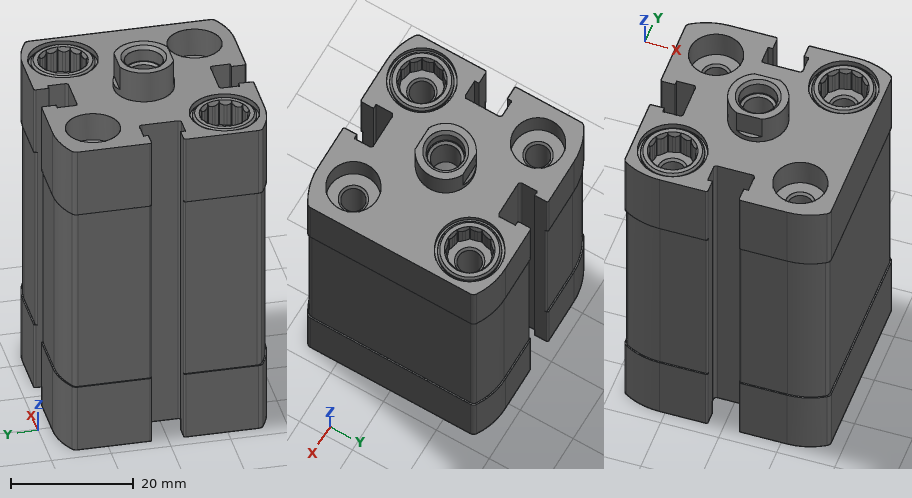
import cadquery as cq
import math

WIDTH = 35.5
HOUSING_HEIGHT = 57.0
CAP_HEIGHT = 12.0
BARREL_INSET = 0.25
CORNER_ARC_RADIUS = 12.0
CORNER_ARC_START = 11.0
CORNER_BLEND = 1.0

SLOT_OPENING = 5.4
SLOT_INNER_WIDTH = 7.0
SLOT_LIP = 2.5
SLOT_DEPTH = 5.9
SLOT_INNER_BLEND = 0.5
SLOT_LIP_BLEND = 0.3
SLOT_ANGLES = (0, -90, 180)

HOLE_OFFSET = 11.0
HOLE_DIAMETER = 4.1
HOLE_MOUTH_DIAMETER = 4.95
COUNTERBORE_DIAMETER = 9.0
COUNTERBORE_DEPTH = 5.0

COLLAR_POCKET_DIAMETER = 11.5
COLLAR_POCKET_DEPTH = 1.0
COLLAR_DIAMETER = 10.5
COLLAR_RECESS = 0.1
COLLAR_CHAMFER = 0.4
SOCKET_CREST_DIAMETER = 7.5
SOCKET_TIP_DIAMETER = 8.25
SOCKET_SHOULDER_DIAMETER = 7.8
SOCKET_SHOULDER_WIDTH = 1.9
SOCKET_MOUTH_DEPTH = 0.75
SOCKET_POINTS = 12
SOCKET_CREST_WIDTH = 0.5
SOCKET_DEPTH = 4.7

ROD_DIAMETER = 10.0
ROD_PROTRUSION = 5.5
ROD_FLAT_WIDTH = 9.0
ROD_FLAT_HEIGHT = 4.25
ROD_FLAT_RUNOUT_ANGLE = 30.0
ROD_BORE_DIAMETER = 6.4
ROD_BORE_MOUTH_DIAMETER = 7.5
ROD_BORE_DEPTH = 2.7
ROD_THREAD_DIAMETER = 6.0
ROD_CORE_DIAMETER = 5.0
ROD_CORE_DEPTH = 10.0
DRILL_TIP_ANGLE = 118.0


def frustum(bottom_diameter, top_diameter, bottom, top):
    """Solid of revolution about Z that tapers from one diameter to the other."""
    return (
        cq.Workplane("XZ")
        .moveTo(0, bottom)
        .lineTo(bottom_diameter / 2, bottom)
        .lineTo(top_diameter / 2, top)
        .lineTo(0, top)
        .close()
        .revolve(360, (0, 0, 0), (0, 1, 0))
    )


def cylinder(diameter, bottom, top):
    return cq.Workplane("XY").workplane(offset=bottom).circle(diameter / 2).extrude(top - bottom)


def block(inset, bottom, top):
    """Square column whose front and back faces curve down to the sides at the corners."""
    half = WIDTH / 2 - inset
    radius = CORNER_ARC_RADIUS - inset

    def edge_y(x):
        """Height of the corner arc above the centre line at a given x."""
        return half - radius + math.sqrt(radius**2 - (x - CORNER_ARC_START) ** 2)

    start = CORNER_ARC_START
    middle = (start + half) / 2
    return (
        cq.Workplane("XY")
        .workplane(offset=bottom)
        .moveTo(-start, -half)
        .lineTo(start, -half)
        .threePointArc((middle, -edge_y(middle)), (half, -edge_y(half)))
        .lineTo(half, edge_y(half))
        .threePointArc((middle, edge_y(middle)), (start, half))
        .lineTo(-start, half)
        .threePointArc((-middle, edge_y(middle)), (-half, edge_y(half)))
        .lineTo(-half, -edge_y(half))
        .threePointArc((-middle, -edge_y(middle)), (-start, -half))
        .close()
        .extrude(top - bottom)
        .edges("|Z and (>X or <X)")
        .fillet(CORNER_BLEND)
    )


def slot_cutter():
    """T-slot that opens toward -Y, over the whole housing height."""
    lip_end = SLOT_LIP - WIDTH / 2
    slot_end = SLOT_DEPTH - WIDTH / 2
    opening = (
        cq.Workplane("XY")
        .center(0, lip_end - SLOT_LIP / 2)
        .rect(SLOT_OPENING, SLOT_LIP)
        .extrude(HOUSING_HEIGHT)
    )
    inner = (
        cq.Workplane("XY")
        .center(0, (lip_end + slot_end) / 2)
        .rect(SLOT_INNER_WIDTH, slot_end - lip_end)
        .extrude(HOUSING_HEIGHT)
        .edges("|Z and >Y")
        .fillet(SLOT_INNER_BLEND)
    )
    return opening.union(inner)


def lip_blend_cutter(inset, bottom, top):
    """Removes the sharp outer edges of a slot that opens toward -Y, leaving them rounded."""
    face = inset - WIDTH / 2
    edge = SLOT_OPENING / 2
    radius = SLOT_LIP_BLEND
    corner = (
        cq.Workplane("XY")
        .workplane(offset=bottom)
        .moveTo(edge, face)
        .lineTo(edge + radius, face)
        .radiusArc((edge, face + radius), radius)
        .close()
        .extrude(top - bottom)
    )
    return corner.union(corner.mirror("YZ"))


def plain_counterbore():
    return cylinder(COUNTERBORE_DIAMETER, HOUSING_HEIGHT - COUNTERBORE_DEPTH, HOUSING_HEIGHT)


def socket(bottom, top):
    """Twelve-point socket with flat crests, narrow notches between teeth and a bevelled mouth."""
    crest_radius = SOCKET_CREST_DIAMETER / 2
    shoulder_radius = SOCKET_SHOULDER_DIAMETER / 2
    tip_radius = SOCKET_TIP_DIAMETER / 2
    pitch = 2 * math.pi / SOCKET_POINTS
    crest_angle = math.asin(SOCKET_CREST_WIDTH / 2 / crest_radius)
    shoulder_angle = math.asin(SOCKET_SHOULDER_WIDTH / 2 / shoulder_radius)
    tooth = [
        (tip_radius, -pitch / 2),
        (shoulder_radius, -shoulder_angle),
        (crest_radius, -crest_angle),
        (crest_radius, crest_angle),
        (shoulder_radius, shoulder_angle),
    ]
    outline = []
    for i in range(SOCKET_POINTS):
        tooth_angle = i * pitch + pitch / 2
        for radius, angle in tooth:
            x = radius * math.cos(tooth_angle + angle)
            y = radius * math.sin(tooth_angle + angle)
            outline.append((x, y))
    mouth = frustum(SOCKET_CREST_DIAMETER, SOCKET_TIP_DIAMETER, top - SOCKET_MOUTH_DEPTH, top)
    return (
        cq.Workplane("XY")
        .workplane(offset=bottom)
        .polyline(outline)
        .close()
        .extrude(top - bottom)
        .union(mouth)
    )


def collar_pocket():
    """Pocket that leaves a bevelled collar standing, with a socket inside the collar."""
    collar_top = HOUSING_HEIGHT - COLLAR_RECESS
    bevel_start = collar_top - COLLAR_CHAMFER
    collar_top_diameter = COLLAR_DIAMETER - 2 * COLLAR_CHAMFER
    pocket_floor = HOUSING_HEIGHT - COLLAR_POCKET_DEPTH
    collar = cylinder(COLLAR_DIAMETER, pocket_floor, bevel_start).union(
        frustum(COLLAR_DIAMETER, collar_top_diameter, bevel_start, collar_top)
    )
    return (
        cylinder(COLLAR_POCKET_DIAMETER, pocket_floor, HOUSING_HEIGHT)
        .cut(collar)
        .union(socket(HOUSING_HEIGHT - SOCKET_DEPTH, collar_top))
    )


def through_hole(seat):
    """Mounting hole with a bevelled mouth, below a seat at the given height."""
    bevel = (HOLE_MOUTH_DIAMETER - HOLE_DIAMETER) / 2
    return cylinder(HOLE_DIAMETER, 0, seat).union(
        frustum(HOLE_DIAMETER, HOLE_MOUTH_DIAMETER, seat - bevel, seat)
    )


def make_housing():
    """Barrel between two slightly wider caps, with slots, corner holes and the rod bore."""
    barrel_top = HOUSING_HEIGHT - CAP_HEIGHT
    sections = [
        (0, 0, CAP_HEIGHT),
        (BARREL_INSET, CAP_HEIGHT, barrel_top),
        (0, barrel_top, HOUSING_HEIGHT),
    ]
    housing = cq.Workplane("XY")
    cutter = slot_cutter()
    for section in sections:
        housing = housing.union(block(*section))
        cutter = cutter.union(lip_blend_cutter(*section))
    for angle in SLOT_ANGLES:
        housing = housing.cut(cutter.rotate((0, 0, 0), (0, 0, 1), angle))
    for x_side in (-1, 1):
        for y_side in (-1, 1):
            place = (x_side * HOLE_OFFSET, y_side * HOLE_OFFSET, 0)
            if x_side == y_side:
                hole = collar_pocket().union(through_hole(HOUSING_HEIGHT - SOCKET_DEPTH))
            else:
                hole = plain_counterbore().union(through_hole(HOUSING_HEIGHT - COUNTERBORE_DEPTH))
            housing = housing.cut(hole.translate(place))
    return housing.cut(cylinder(ROD_DIAMETER, barrel_top, HOUSING_HEIGHT))


def make_rod():
    """Rod with two wrench flats and a stepped bore that ends in a drill tip."""
    top = HOUSING_HEIGHT + ROD_PROTRUSION
    rod = cylinder(ROD_DIAMETER, HOUSING_HEIGHT - CAP_HEIGHT, top)

    flat = ROD_FLAT_WIDTH / 2
    flat_bottom = top - ROD_FLAT_HEIGHT
    runout = (ROD_DIAMETER / 2 - flat) * math.tan(math.radians(ROD_FLAT_RUNOUT_ANGLE))
    flat_cutter = (
        cq.Workplane("YZ")
        .moveTo(flat, top)
        .lineTo(flat, flat_bottom)
        .lineTo(ROD_DIAMETER / 2, flat_bottom - runout)
        .lineTo(ROD_DIAMETER / 2, top)
        .close()
        .extrude(ROD_DIAMETER / 2, both=True)
    )
    flats = flat_cutter.union(flat_cutter.mirror("XZ"))

    mouth_bevel = (ROD_BORE_MOUTH_DIAMETER - ROD_BORE_DIAMETER) / 2
    ledge = top - ROD_BORE_DEPTH
    core_bottom = top - ROD_CORE_DEPTH
    drill_slope = 1 / math.tan(math.radians(DRILL_TIP_ANGLE / 2))
    countersink = (ROD_THREAD_DIAMETER - ROD_CORE_DIAMETER) / 2 * drill_slope
    tip_length = ROD_CORE_DIAMETER / 2 * drill_slope
    bore = (
        cq.Workplane("XZ")
        .moveTo(0, top)
        .lineTo(ROD_BORE_MOUTH_DIAMETER / 2, top)
        .lineTo(ROD_BORE_DIAMETER / 2, top - mouth_bevel)
        .lineTo(ROD_BORE_DIAMETER / 2, ledge)
        .lineTo(ROD_THREAD_DIAMETER / 2, ledge)
        .lineTo(ROD_CORE_DIAMETER / 2, ledge - countersink)
        .lineTo(ROD_CORE_DIAMETER / 2, core_bottom)
        .lineTo(0, core_bottom - tip_length)
        .close()
        .revolve(360, (0, 0, 0), (0, 1, 0))
    )
    return rod.cut(flats).cut(bore)


housing = make_housing()
rod = make_rod()
result = cq.Compound.makeCompound([housing.val(), rod.val()])